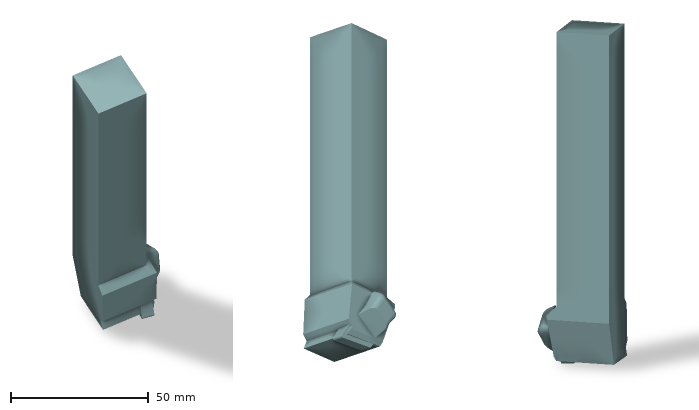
import cadquery as cq
import math


TOOL_LENGTH = 126.4
SHANK = 19.8
SHANK_END_Z = 24.3

SHOULDER_X = 22.7
SHOULDER_Z = 21.5
HEAD_RIGHT_X = 23.6
NOTCH_TOP_Z = 7.5
NOTCH_X = 21.7
NOTCH_Z = 5.3
SEAT_TIP_X = 23.4
SEAT_TIP_Z = 1.9
HEAD_BOTTOM_Z = 2.3
BEVEL_BOTTOM_X = 6.2
BEVEL_TOP_Z = 19.0

HEAD_TOP_Y = 23.6
HEAD_SLOPE_X = 0.05
HEAD_SLOPE_Z = 0.05
RELIEF_TOP_Z = 4.0
RELIEF_SLOPE_Z = 0.4
RAMP_RISE = HEAD_TOP_Y - SHANK
RAMP_TOP_Z = SHANK_END_Z - RAMP_RISE

CLAMP_ANGLE = 55.0
CLAMP_LENGTH = 14.8
CLAMP_WIDTH = 13.1
CLAMP_TAIL_X = 1.0
CLAMP_TAIL_Z = 15.3
CLAMP_BASE_Y = 21.5
CLAMP_TOP_Y = 28.8
CLAMP_SIDE_DRAFT = 8.0
CLAMP_WAIST = 9.0
CLAMP_NARROWING = 0.9
CLAMP_GAP = 0.5
SCREW_DIAMETER = 3.8
CLAMP_TAIL_DRAFT = 25.0
CLAMP_CORNER_DIAMETER = 3.8
TAIL_ROUND_Y = 26.0
TAIL_ROUND_END = 4.8
SLOPE_END = 10.5
SLOPE_END_Y = 27.8
NOSE_END_Y = 22.5

INSERT_TIP_X = 26.0
INSERT_TIP_Y = 20.0
INSERT_TIP_Z = -0.04
INSERT_LENGTH = 15.3
INSERT_WIDTH = 9.5
INSERT_THICKNESS = 4.8
INSERT_ANGLE = 55.0
INSERT_NOSE_RADIUS = 0.8
INSERT_SLOPE_X = 0.08
INSERT_SLOPE_Z = 0.09
INSERT_LEAD = 0.025

OVERSIZE = 75.8
NEARLY_PARALLEL = 0.9
TOLERANCE = 0.01


def space_above(point, slope_x, slope_z):
    """Block above a plane that falls by slope_x towards +X and by slope_z towards -Z."""
    plane = cq.Plane(origin=point, xDir=(1, -slope_x, 0), normal=(slope_x, 1, -slope_z))
    return cq.Workplane(plane).rect(2 * OVERSIZE, 2 * OVERSIZE).extrude(OVERSIZE)


def head_space():
    """Space above the sloping top face of the head."""
    return space_above((0, HEAD_TOP_Y, RAMP_TOP_Z), HEAD_SLOPE_X, HEAD_SLOPE_Z)


def make_body():
    """Shank and head, with the head rising behind a ramp to its sloping top face."""
    outline = [
        (0, TOOL_LENGTH),
        (SHANK, TOOL_LENGTH),
        (SHANK, SHANK_END_Z),
        (SHOULDER_X, SHOULDER_Z),
        (HEAD_RIGHT_X, NOTCH_TOP_Z),
        (NOTCH_X, NOTCH_Z),
        (SEAT_TIP_X, SEAT_TIP_Z),
        (BEVEL_BOTTOM_X, HEAD_BOTTOM_Z),
        (0, BEVEL_TOP_Z),
    ]
    body = cq.Workplane("XZ").polyline(outline).close().extrude(-(HEAD_TOP_Y + RAMP_RISE))
    above_shank = (
        cq.Workplane("YZ")
        .moveTo(SHANK, TOOL_LENGTH)
        .lineTo(SHANK, SHANK_END_Z)
        .lineTo(SHANK + 2 * RAMP_RISE, SHANK_END_Z - 2 * RAMP_RISE)
        .lineTo(SHANK + 2 * RAMP_RISE, TOOL_LENGTH)
        .close()
        .extrude(OVERSIZE)
    )
    relief_y = HEAD_TOP_Y - HEAD_SLOPE_Z * (RAMP_TOP_Z - RELIEF_TOP_Z)
    relief = space_above((0, relief_y, RELIEF_TOP_Z), HEAD_SLOPE_X, RELIEF_SLOPE_Z)
    return body.cut(above_shank).cut(head_space()).cut(relief)


def clamp_plan(inset):
    """Plan outline that narrows from the tail to the waist, with both sides moved in by inset."""
    left = [
        (inset - CLAMP_NARROWING, -CLAMP_WAIST),
        (inset + CLAMP_NARROWING, CLAMP_WAIST),
        (inset + CLAMP_NARROWING, 2 * CLAMP_LENGTH),
    ]
    right = [(CLAMP_WIDTH - side, distance) for side, distance in reversed(left)]
    return left + right


def make_clamp():
    """Tapered clamp with a rounded tail and a ramped nose, held just above the head by its screw stem."""
    angle = math.radians(CLAMP_ANGLE)
    along = cq.Vector(math.cos(angle), 0, -math.sin(angle))
    across = cq.Vector(math.sin(angle), 0, math.cos(angle))
    tail_corner = cq.Vector(CLAMP_TAIL_X, 0, CLAMP_TAIL_Z)

    tail_lean = math.tan(math.radians(CLAMP_TAIL_DRAFT))
    tail_round_start = (TAIL_ROUND_Y - HEAD_TOP_Y) * tail_lean
    tail_foot = tail_round_start - (TAIL_ROUND_Y - CLAMP_BASE_Y) * tail_lean
    profile_plane = cq.Plane(origin=tail_corner.toTuple(), xDir=along, normal=across.toTuple())
    profile = (
        cq.Workplane(profile_plane)
        .moveTo(CLAMP_LENGTH, CLAMP_BASE_Y)
        .lineTo(tail_foot, CLAMP_BASE_Y)
        .lineTo(tail_round_start, TAIL_ROUND_Y)
        .tangentArcPoint((TAIL_ROUND_END, CLAMP_TOP_Y), relative=False)
        .lineTo(SLOPE_END, SLOPE_END_Y)
        .lineTo(CLAMP_LENGTH, NOSE_END_Y)
        .close()
        .extrude(OVERSIZE, both=True)
    )

    plan_plane = cq.Plane(
        origin=(tail_corner + cq.Vector(0, CLAMP_BASE_Y, 0)).toTuple(), xDir=across, normal=(0, 1, 0)
    )
    clamp_height = CLAMP_TOP_Y - CLAMP_BASE_Y
    side_lean = clamp_height * math.tan(math.radians(CLAMP_SIDE_DRAFT))
    plan = (
        cq.Workplane(plan_plane)
        .polyline(clamp_plan(0))
        .close()
        .workplane(offset=clamp_height)
        .polyline(clamp_plan(side_lean))
        .close()
        .loft(ruled=True)
    )
    clamp = profile.intersect(plan)

    def is_rounded(edge):
        middle = edge.Center()
        direction = edge.tangentAt(0.5)
        distance = (middle - tail_corner).dot(along)
        before_nose = distance < SLOPE_END
        at_waist = abs(direction.y) > NEARLY_PARALLEL and distance > TAIL_ROUND_END
        runs_across = abs(direction.dot(across)) > NEARLY_PARALLEL
        at_base = middle.y < CLAMP_BASE_Y + TOLERANCE
        return before_nose and not runs_across and not at_waist and not at_base

    rounded_edges = [edge for edge in clamp.edges().vals() if is_rounded(edge)]
    clamp = clamp.newObject(rounded_edges).fillet(CLAMP_CORNER_DIAMETER / 2)
    clamp = clamp.intersect(head_space().translate((0, CLAMP_GAP, 0)))
    centre = tail_corner + across * (CLAMP_WIDTH / 2) + along * (CLAMP_LENGTH / 2)
    screw = (
        cq.Workplane(cq.Plane(origin=(centre.x, CLAMP_BASE_Y, centre.z), xDir=(1, 0, 0), normal=(0, 1, 0)))
        .circle(SCREW_DIAMETER / 2)
        .extrude(TAIL_ROUND_Y - CLAMP_BASE_Y)
    )
    return clamp.union(screw)


def make_insert():
    """Rhomboid insert with two rounded acute corners, tilted with its tip down."""
    plane = cq.Plane(
        origin=(INSERT_TIP_X, INSERT_TIP_Y, INSERT_TIP_Z),
        xDir=(-1, INSERT_SLOPE_X + INSERT_SLOPE_Z * INSERT_LEAD, INSERT_LEAD),
        normal=(INSERT_SLOPE_X, 1, -INSERT_SLOPE_Z),
    )
    lean = INSERT_WIDTH / math.tan(math.radians(INSERT_ANGLE))
    outline = [
        (0, 0),
        (INSERT_LENGTH, 0),
        (INSERT_LENGTH + lean, INSERT_WIDTH),
        (lean, INSERT_WIDTH),
    ]
    blank = cq.Workplane(plane).polyline(outline).close().extrude(-INSERT_THICKNESS)
    tip_edge = cq.selectors.NearestToPointSelector(plane.toWorldCoords((0, 0, -INSERT_THICKNESS / 2)))
    far_corner = (INSERT_LENGTH + lean, INSERT_WIDTH, -INSERT_THICKNESS / 2)
    far_edge = cq.selectors.NearestToPointSelector(plane.toWorldCoords(far_corner))
    return blank.edges(tip_edge).fillet(INSERT_NOSE_RADIUS).edges(far_edge).fillet(INSERT_NOSE_RADIUS)


insert = make_insert()
holder = make_body().union(make_clamp()).cut(insert)

result = cq.Compound.makeCompound([holder.val(), insert.val()])